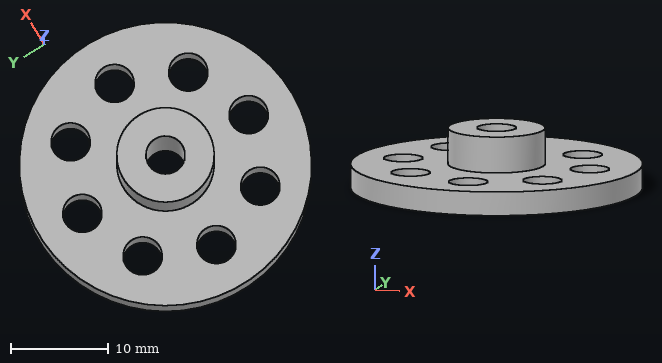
import cadquery as cq

disc_diameter = 30.0
disc_thickness = 2.5
hub_diameter = 10.0
total_height = 6.25
hole_diameter = 4.0
hole_count = 8
hole_circle_diameter = 20.0

hub_height = total_height - disc_thickness


def make_body():
    """Flat round disc with a concentric hub standing on its top face."""
    disc = cq.Workplane("XY").circle(disc_diameter / 2).extrude(disc_thickness)
    return disc.faces(">Z").workplane().circle(hub_diameter / 2).extrude(hub_height)


def make_bore():
    """Cutter for the centre bore, through both hub and disc."""
    return cq.Workplane("XY").circle(hole_diameter / 2).extrude(total_height)


def make_hole_ring():
    """Cutters for the evenly spaced through holes around the hub."""
    return (
        cq.Workplane("XY")
        .polarArray(hole_circle_diameter / 2, 0, 360, hole_count)
        .circle(hole_diameter / 2)
        .extrude(disc_thickness)
    )


result = make_body().cut(make_bore()).cut(make_hole_ring())